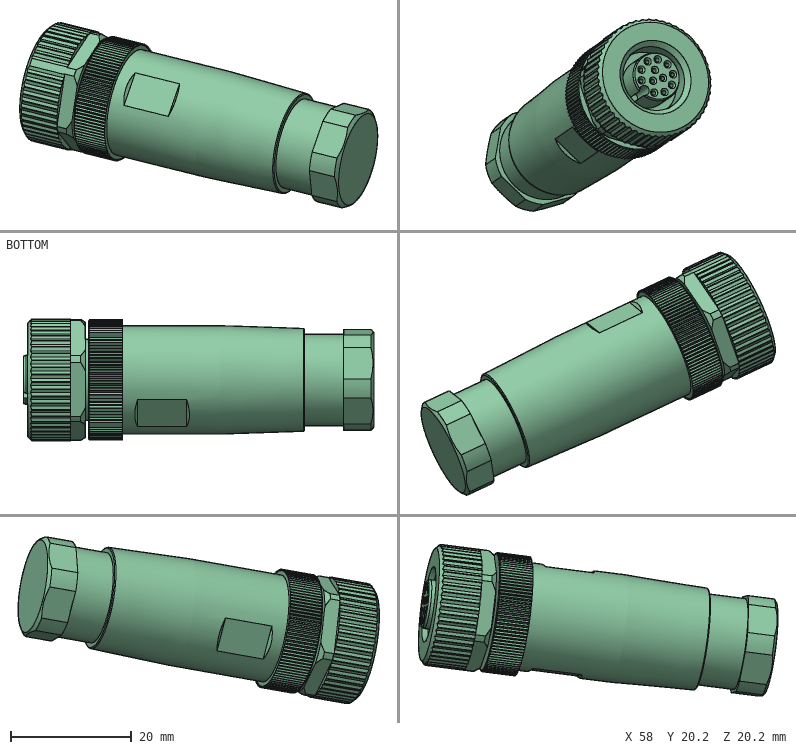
import cadquery as cq
import math


LENGTH = 58.0
NUT_FRONT = 0.7
KNURL_END = 7.8
NUT_END = 10.25
RING_FRONT = 10.75
RING_END = 16.35
TAPER_START = 32.55
TAPER_END = 46.5
GLAND_START = 52.95

KEY_ANGLE = 130.0

NUT_RADIUS = 20.2 / 2
NUT_HEX_FLATS = 18.05
NUT_FRONT_CHAMFER = 0.7
NUT_REAR_CHAMFER_LENGTH = 0.8
NUT_REAR_CHAMFER_DEPTH = 0.6
NUT_KNURL_PITCHES = 52
NUT_KNURL_DEPTH = 0.25
BORE_RADIUS = 10.9 / 2
BORE_MOUTH_RADIUS = 12.6 / 2
BORE_DEPTH = 4.65
BORE_FLOOR = NUT_FRONT + BORE_DEPTH

INSERT_RADIUS = 8.2 / 2
INSERT_CHAMFER_LENGTH = 0.4
INSERT_CHAMFER_DEPTH = 0.2
KEYWAY_RADIUS = 0.8
KEYWAY_CENTRE_RADIUS = 3.4
CONTACT_RADIUS = 0.7 / 2
CONTACT_MOUTH_RADIUS = 0.65
CONTACT_DEPTH = 3.5
OUTER_CONTACT_CIRCLE = 2.9
OUTER_CONTACTS = 9
OUTER_CONTACT_STEP = 37.5
INNER_CONTACT_CIRCLE = 1.1
INNER_CONTACTS = 3

RING_RADIUS = 19.9 / 2
RING_CHAMFER = 0.25
RING_KNURL_PITCHES = 104
RING_KNURL_DEPTH = 0.25

COLLAR_RADIUS = 13.5 / 2
BODY_RADIUS = 18.0 / 2
TAPER_END_RADIUS = 8.5
TAPER_EDGE_CHAMFER = 0.2
NECK_RADIUS = 15.2 / 2

FLAT_START = 18.9
FLAT_END = 26.95
FLAT_ACROSS = 17.0

GLAND_RADIUS = 8.45
GLAND_HEX_FLATS = 16.0
GLAND_HEX_ANGLE = 40.0
GLAND_CHAMFER_LENGTH = 0.5
GLAND_CHAMFER_DEPTH = 0.7

HEX_SIDES = 6
CREST_OVERSIZE = 0.03


def turned(outline):
    """Revolve an (x, radius) outline about the X axis."""
    return cq.Workplane("XY").polyline(outline).close().revolve(360, (0, 0, 0), (1, 0, 0))


def polar(radius, angle):
    """Return the (y, z) point at a radius and an angle in degrees."""
    return (radius * math.cos(math.radians(angle)), radius * math.sin(math.radians(angle)))


def cross_section(x):
    """Return the YZ workplane at a station along X."""
    return cq.Workplane("YZ", origin=(x, 0, 0))


def hex_prism(start, end, across_flats, corner_angle):
    """Hexagonal prism along X with one corner at the given angle."""
    step = 360 / HEX_SIDES
    corner_radius = across_flats / 2 / math.cos(math.radians(step / 2))
    corners = [polar(corner_radius, corner_angle + i * step) for i in range(HEX_SIDES)]
    return cross_section(start).polyline(corners).close().extrude(end - start)


def knurl_prism(start, end, radius, depth, pitches, has_land=False):
    """V-grooved prism; with a land, the groove centred on the key angle is left out."""
    pitch = 360 / pitches
    points = []
    for i in range(pitches):
        groove_angle = KEY_ANGLE + i * pitch
        points.append(polar(radius + CREST_OVERSIZE, groove_angle - pitch / 2))
        if i > 0 or not has_land:
            points.append(polar(radius - depth, groove_angle))
    return cross_section(start).polyline(points).close().extrude(end - start)


def coupling_nut():
    blank = turned([
        (NUT_FRONT, 0),
        (NUT_FRONT, NUT_RADIUS - NUT_FRONT_CHAMFER),
        (NUT_FRONT + NUT_FRONT_CHAMFER, NUT_RADIUS),
        (NUT_END - NUT_REAR_CHAMFER_LENGTH, NUT_RADIUS),
        (NUT_END, NUT_RADIUS - NUT_REAR_CHAMFER_DEPTH),
        (NUT_END, 0),
    ])
    knurl = knurl_prism(NUT_FRONT, KNURL_END, NUT_RADIUS, NUT_KNURL_DEPTH, NUT_KNURL_PITCHES, True)
    hexagon = hex_prism(KNURL_END, NUT_END, NUT_HEX_FLATS, KEY_ANGLE)
    mouth_depth = BORE_MOUTH_RADIUS - BORE_RADIUS
    bore = turned([
        (NUT_FRONT, 0),
        (NUT_FRONT, BORE_MOUTH_RADIUS),
        (NUT_FRONT + mouth_depth, BORE_RADIUS),
        (BORE_FLOOR, BORE_RADIUS),
        (BORE_FLOOR, 0),
    ])
    return blank.intersect(knurl.union(hexagon)).cut(bore)


def contact_points():
    """Outer row centred opposite the keyway, and an inner triangle."""
    first = KEY_ANGLE - OUTER_CONTACT_STEP * (OUTER_CONTACTS - 1) / 2
    outer = [polar(OUTER_CONTACT_CIRCLE, first + i * OUTER_CONTACT_STEP) for i in range(OUTER_CONTACTS)]
    inner_step = 360 / INNER_CONTACTS
    inner_first = KEY_ANGLE + 180
    inner = [polar(INNER_CONTACT_CIRCLE, inner_first + i * inner_step) for i in range(INNER_CONTACTS)]
    return outer + inner


def contact_insert():
    insert = turned([
        (0, 0),
        (0, INSERT_RADIUS - INSERT_CHAMFER_DEPTH),
        (INSERT_CHAMFER_LENGTH, INSERT_RADIUS),
        (BORE_FLOOR, INSERT_RADIUS),
        (BORE_FLOOR, 0),
    ])
    keyway_centre = polar(KEYWAY_CENTRE_RADIUS, KEY_ANGLE + 180)
    keyway = cross_section(0).center(*keyway_centre).circle(KEYWAY_RADIUS).extrude(BORE_FLOOR)
    contact = turned([
        (0, 0),
        (0, CONTACT_MOUTH_RADIUS),
        (CONTACT_MOUTH_RADIUS - CONTACT_RADIUS, CONTACT_RADIUS),
        (CONTACT_DEPTH, CONTACT_RADIUS),
        (CONTACT_DEPTH, 0),
    ])
    insert = insert.cut(keyway)
    for y, z in contact_points():
        insert = insert.cut(contact.translate((0, y, z)))
    return insert


def knurled_ring():
    blank = turned([
        (RING_FRONT, 0),
        (RING_FRONT, RING_RADIUS - RING_CHAMFER),
        (RING_FRONT + RING_CHAMFER, RING_RADIUS),
        (RING_END, RING_RADIUS),
        (RING_END, 0),
    ])
    return blank.intersect(
        knurl_prism(RING_FRONT, RING_END, RING_RADIUS, RING_KNURL_DEPTH, RING_KNURL_PITCHES)
    )


def flat_cutter(angle):
    """Cutter with 45-degree ends whose floor is a wrench flat facing the given angle."""
    floor = FLAT_ACROSS / 2
    rise = BODY_RADIUS - floor
    profile = [
        (FLAT_START, floor),
        (FLAT_END, floor),
        (FLAT_END + rise, BODY_RADIUS),
        (FLAT_START - rise, BODY_RADIUS),
    ]
    cutter = cq.Workplane("XY").polyline(profile).close().extrude(BODY_RADIUS, both=True)
    return cutter.rotate((0, 0, 0), (1, 0, 0), angle)


def housing():
    body = turned([
        (NUT_END, 0),
        (NUT_END, COLLAR_RADIUS),
        (RING_FRONT, COLLAR_RADIUS),
        (RING_FRONT, BODY_RADIUS),
        (TAPER_START, BODY_RADIUS),
        (TAPER_END - TAPER_EDGE_CHAMFER, TAPER_END_RADIUS),
        (TAPER_END, TAPER_END_RADIUS - TAPER_EDGE_CHAMFER),
        (TAPER_END, NECK_RADIUS),
        (GLAND_START, NECK_RADIUS),
        (GLAND_START, 0),
    ])
    for angle in (KEY_ANGLE, KEY_ANGLE + 180):
        body = body.cut(flat_cutter(angle))
    return body


def gland_nut():
    blank = turned([
        (GLAND_START, 0),
        (GLAND_START, GLAND_RADIUS),
        (LENGTH - GLAND_CHAMFER_LENGTH, GLAND_RADIUS),
        (LENGTH, GLAND_RADIUS - GLAND_CHAMFER_DEPTH),
        (LENGTH, 0),
    ])
    return blank.intersect(hex_prism(GLAND_START, LENGTH, GLAND_HEX_FLATS, GLAND_HEX_ANGLE))


result = (
    coupling_nut()
    .union(contact_insert())
    .union(housing())
    .union(knurled_ring())
    .union(gland_nut())
)